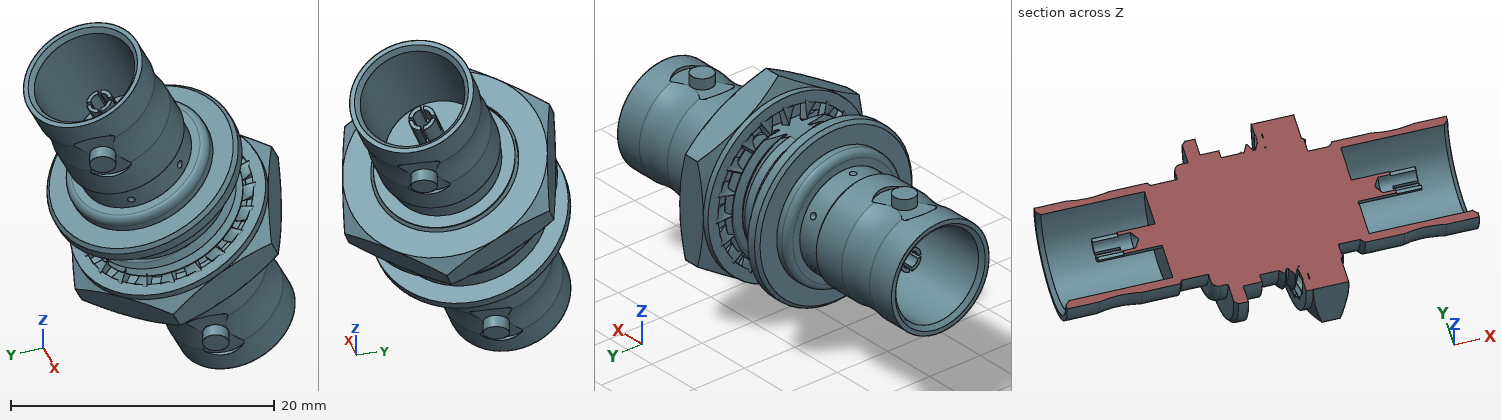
import cadquery as cq
import math


total_length = 32.5
socket_radius = 4.84
left_socket_end = 9.12
left_socket_taper = 0.2
right_socket_start = 23.17
right_socket_taper = 0.33
pin_offset = 4.25
pin_radius = 1.0
pin_reach = 5.525
pin_pocket_radius = 2.5
pin_flat_height = 4.56
waist_half_length = 1.66
waist_radius = 4.66

bore_radius = 4.09
bore_depth = 8.5
mouth_chamfer = 0.36
contact_radius = 1.04
contact_hole_radius = 0.72
contact_tip_depth = 3.5
contact_hole_depth = 3.0
contact_slot_width = 0.25
contact_slot_depth = 2.0
drill_half_angle = math.radians(59)

left_neck_radius = 4.56
dimple_x = 10.33
dimple_radius = 0.3
dimple_depth = 0.3
dimple_count = 6
collar_start = 11.21
collar_radius = 5.84
collar_rounding = 0.6
flange_start = 12.4
flange_end = 13.5
flange_radius = 7.8
flange_chamfer = 0.3
shoulder_end = 14.98
shoulder_radius = 6.3
core_radius = 5.63
core_end = 21.5
right_neck_radius = 4.48
flat_height = 5.52

thread_start = 16.46
thread_crest_radius = 6.3
thread_pitch = 25.4 / 28
thread_base_half_width = 0.44
thread_crest_half_width = 0.03
thread_root_overlap = 0.1

washer_start = 17.97
washer_outer_radius = 8.0
washer_inner_radius = 7.0
tooth_count = 20
tooth_inner_radius = 5.65
tooth_width = 1.2
tooth_thickness = 0.55
tooth_twist = 45
nut_start = 18.53
nut_end = 21.34
nut_across_flats = 16.0
nut_bore_radius = 5.5
nut_chamfer_angle = math.radians(29)

overlap = 0.2


def cylinder_x(start, end, radius):
    return cq.Workplane("YZ", origin=(start, 0, 0)).circle(radius).extrude(end - start)


def ring_x(start, end, outer_radius, inner_radius):
    return cylinder_x(start, end, outer_radius).cut(cylinder_x(start, end, inner_radius))


def revolve_x(profile):
    return profile.close().revolve(360, (0, 0, 0), (1, 0, 0))


def make_body():
    left_waist = pin_offset
    right_waist = total_length - pin_offset
    rounding_mid = collar_rounding * (1 - math.sqrt(0.5))
    profile = (
        cq.Workplane("XY")
        .moveTo(0, 0)
        .lineTo(0, socket_radius)
        .lineTo(left_waist - waist_half_length, socket_radius)
        .threePointArc((left_waist, waist_radius), (left_waist + waist_half_length, socket_radius))
        .lineTo(left_socket_end - left_socket_taper, socket_radius)
        .lineTo(left_socket_end, left_neck_radius)
        .lineTo(collar_start, left_neck_radius)
        .lineTo(collar_start, collar_radius - collar_rounding)
        .threePointArc(
            (collar_start + rounding_mid, collar_radius - rounding_mid),
            (collar_start + collar_rounding, collar_radius),
        )
        .lineTo(flange_start, collar_radius)
        .lineTo(flange_start, flange_radius - flange_chamfer)
        .lineTo(flange_start + flange_chamfer, flange_radius)
        .lineTo(flange_end, flange_radius)
        .lineTo(flange_end, shoulder_radius)
        .lineTo(shoulder_end, shoulder_radius)
        .lineTo(shoulder_end, core_radius)
        .lineTo(core_end, core_radius)
        .lineTo(core_end, right_neck_radius)
        .lineTo(right_socket_start, right_neck_radius)
        .lineTo(right_socket_start + right_socket_taper, socket_radius)
        .lineTo(right_waist - waist_half_length, socket_radius)
        .threePointArc((right_waist, waist_radius), (right_waist + waist_half_length, socket_radius))
        .lineTo(total_length, socket_radius)
        .lineTo(total_length, 0)
    )
    return revolve_x(profile)


def make_thread():
    """Right-handed V ridge, trimmed to the threaded length by a cone at each end."""
    root = core_radius - thread_root_overlap
    lead_in = thread_start - thread_pitch
    length = core_end - lead_in + thread_pitch
    path = cq.Wire.makeHelix(thread_pitch, length, root)
    ridge = (
        cq.Workplane("XZ")
        .moveTo(root, -thread_base_half_width)
        .lineTo(thread_crest_radius, -thread_crest_half_width)
        .lineTo(thread_crest_radius, thread_crest_half_width)
        .lineTo(root, thread_base_half_width)
        .close()
        .sweep(cq.Workplane(obj=path), isFrenet=True)
    )
    ridge = ridge.rotate((0, 0, 0), (0, 1, 0), 90).rotate((0, 0, 0), (1, 0, 0), 180)
    ridge = ridge.translate((lead_in, 0, 0))
    rim = thread_crest_radius + overlap
    envelope = cylinder_x(thread_start - overlap, core_end + overlap, rim)
    envelope = envelope.edges().chamfer(rim - core_radius + overlap)
    return ridge.intersect(envelope)


def cut_flat(body):
    """Flatten the +Z side from the flange to the end of the thread."""
    length = core_end - flange_end
    block = cq.Workplane("XY", origin=(flange_end + length / 2, 0, flat_height))
    block = block.rect(length, 2 * shoulder_radius).extrude(shoulder_radius)
    return body.cut(block)


def add_bayonet_pins(body, pin_x):
    """Flat-bottomed round pocket with a pin, on the +Z and -Z sides."""
    for spin in (0, 180):
        plane = cq.Workplane("XY", origin=(pin_x, 0, pin_flat_height))
        pocket = plane.circle(pin_pocket_radius).extrude(socket_radius)
        pin = (
            cq.Workplane("XY", origin=(pin_x, 0, pin_flat_height - overlap))
            .circle(pin_radius)
            .extrude(pin_reach - pin_flat_height + overlap)
        )
        body = body.cut(pocket.rotate((0, 0, 0), (1, 0, 0), spin))
        body = body.union(pin.rotate((0, 0, 0), (1, 0, 0), spin))
    return body


def make_socket_cavity():
    """Bore of the left socket, around its slotted centre contact."""
    bore = revolve_x(
        cq.Workplane("XY")
        .moveTo(0, 0)
        .lineTo(0, bore_radius + mouth_chamfer)
        .lineTo(mouth_chamfer, bore_radius)
        .lineTo(bore_depth, bore_radius)
        .lineTo(bore_depth, 0)
    )
    hole_end = contact_tip_depth + contact_hole_depth
    hole = revolve_x(
        cq.Workplane("XY")
        .moveTo(contact_tip_depth, 0)
        .lineTo(contact_tip_depth, contact_hole_radius)
        .lineTo(hole_end, contact_hole_radius)
        .lineTo(hole_end + contact_hole_radius / math.tan(drill_half_angle), 0)
    )
    contact = cylinder_x(contact_tip_depth, bore_depth, contact_radius).cut(hole)
    for spin in (0, 90):
        slot = (
            cq.Workplane("YZ", origin=(contact_tip_depth, 0, 0))
            .rect(contact_slot_width, 2 * bore_radius)
            .extrude(contact_slot_depth)
        )
        contact = contact.cut(slot.rotate((0, 0, 0), (1, 0, 0), spin))
    return bore.cut(contact)


def cut_dimples(body):
    """Ring of small conical pits in the left neck."""
    for index in range(dimple_count):
        cone = cq.Solid.makeCone(
            dimple_radius,
            0,
            dimple_depth,
            pnt=cq.Vector(dimple_x, 0, left_neck_radius),
            dir=cq.Vector(0, 0, -1),
        )
        dimple = cq.Workplane(obj=cone)
        body = body.cut(dimple.rotate((0, 0, 0), (1, 0, 0), index * 360 / dimple_count))
    return body


def make_washer():
    """Internal-tooth lock washer; each tooth is a plate that twists toward its tip."""
    washer = ring_x(washer_start, nut_start, washer_outer_radius, washer_inner_radius)
    middle = (washer_start + nut_start) / 2
    for index in range(tooth_count):
        tooth = (
            cq.Workplane("XY", origin=(middle, 0, tooth_inner_radius))
            .transformed(rotate=(0, 0, tooth_twist))
            .rect(tooth_thickness, tooth_width)
            .workplane(offset=washer_inner_radius + overlap - tooth_inner_radius)
            .transformed(rotate=(0, 0, -tooth_twist))
            .rect(tooth_thickness, tooth_width)
            .loft(ruled=True)
        )
        washer = washer.union(tooth.rotate((0, 0, 0), (1, 0, 0), index * 360 / tooth_count))
    return washer


def make_nut():
    """Hexagon nut with corners up and down, cone-chamfered on both faces."""
    corner_radius = nut_across_flats / math.sqrt(3)
    face_radius = nut_across_flats / 2
    blank = (
        cq.Workplane("YZ", origin=(nut_start, 0, 0))
        .transformed(rotate=(0, 0, 90))
        .polygon(6, 2 * corner_radius)
        .extrude(nut_end - nut_start)
    )
    rim_radius = corner_radius + overlap
    cone_length = (rim_radius - face_radius) * math.tan(nut_chamfer_angle)
    envelope = revolve_x(
        cq.Workplane("XY")
        .moveTo(nut_start, 0)
        .lineTo(nut_start, face_radius)
        .lineTo(nut_start + cone_length, rim_radius)
        .lineTo(nut_end - cone_length, rim_radius)
        .lineTo(nut_end, face_radius)
        .lineTo(nut_end, 0)
    )
    return blank.intersect(envelope).cut(cylinder_x(nut_start, nut_end, nut_bore_radius))


body = make_body().union(make_thread())
body = cut_flat(body)
for pin_x in (pin_offset, total_length - pin_offset):
    body = add_bayonet_pins(body, pin_x)
cavity = make_socket_cavity()
body = body.cut(cavity)
body = body.cut(cavity.mirror("YZ").translate((total_length, 0, 0)))
body = cut_dimples(body)
result = body.union(make_nut().union(make_washer()))